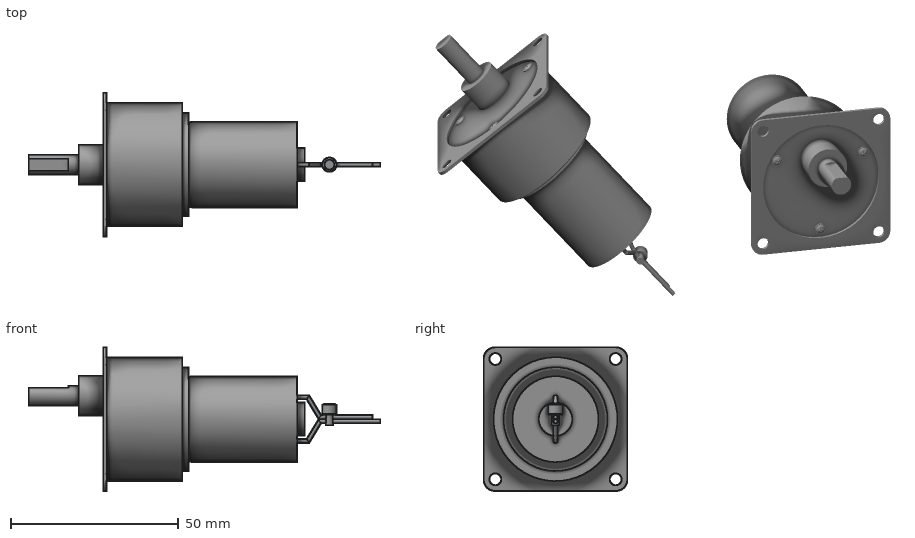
import cadquery as cq
import math


flat_end_x = 11.9
bushing_front_x = 14.9
plate_front_x = 22.3
plate_thickness = 1.0
gearbox_front_x = plate_front_x + plate_thickness
gearbox_rear_x = 46.0
adapter_rear_x = 47.9
motor_rear_x = 80.3
collar_rear_x = 82.6

shaft_dia = 6.0
bushing_dia = 12.0
gearbox_dia = 37.0
adapter_dia = 31.0
motor_dia = 25.7
collar_dia = 10.0

shaft_offset_z = 7.0
shaft_flat_depth = 0.6
motor_front_round = 1.0

plate_side = 43.0
plate_corner_radius = 3.5
plate_bore_dia = 36.0
mount_hole_pitch = plate_bore_dia
mount_hole_dia = 3.5

screw_circle_radius = 15.5
screw_count = 3
screw_head_dia = 3.4
screw_rim_height = 0.3
screw_dome_dia = 2.8
screw_dome_height = 0.5
cross_slot_length = 1.6
cross_slot_width = 0.3
cross_slot_depth = 0.5

wire_dia = 1.3
wire_overlap = 0.02
wire_run_z = (wire_dia - wire_overlap) / 2
wire_exit_z = 6.5
wire_bend_x = 83.5
wire_join_x = 87.1
upper_wire_end_x = 102.9
lower_wire_end_x = 105.2

bead_x = 90.0
bead_dia = 4.3
bead_bottom_z = 1.3
bead_top_z = 4.6
bead_top_chamfer_height = 0.37
bead_top_chamfer_width = 0.68
bead_bottom_chamfer = 0.3
post_dia = 2.3
post_bottom_z = -1.9


def x_cylinder(dia, start_x, end_x, z=0.0):
    """Cylinder along X between two stations, with its axis at height z."""
    return cq.Workplane("YZ", origin=(start_x, 0, z)).circle(dia / 2).extrude(end_x - start_x)


def make_plate():
    """Square mounting plate with rounded corners, a large bore and four corner holes."""
    return (
        cq.Workplane("YZ", origin=(plate_front_x, 0, 0))
        .rect(plate_side, plate_side)
        .extrude(plate_thickness)
        .edges("|X")
        .fillet(plate_corner_radius)
        .faces("<X")
        .workplane(origin=(plate_front_x, 0, 0))
        .hole(plate_bore_dia)
        .faces("<X")
        .workplane(origin=(plate_front_x, 0, 0))
        .rect(mount_hole_pitch, mount_hole_pitch, forConstruction=True)
        .vertices()
        .hole(mount_hole_dia)
    )


def make_output_shaft():
    """Shaft with a flat along the top of its free end."""
    shaft = x_cylinder(shaft_dia, 0, bushing_front_x, shaft_offset_z)
    flat_z = shaft_offset_z + shaft_dia / 2 - shaft_flat_depth
    flat_cut = cq.Workplane("XY", origin=(0, 0, flat_z)).box(
        flat_end_x, shaft_dia, shaft_dia, centered=(False, True, False)
    )
    return shaft.cut(flat_cut)


def make_screw_head(angle):
    """Domed cross-head screw on the gearbox front face, at an angle about X from straight down."""
    rim_front_x = gearbox_front_x - screw_rim_height
    dome_front_x = rim_front_x - screw_dome_height
    dome_radius = ((screw_dome_dia / 2) ** 2 + screw_dome_height**2) / (2 * screw_dome_height)
    mid_radius = screw_dome_dia / 4
    mid_depth = dome_radius - math.sqrt(dome_radius**2 - mid_radius**2)
    dome_mid_point = (dome_front_x + mid_depth, mid_radius)
    head = (
        cq.Workplane("XZ")
        .moveTo(gearbox_front_x, 0)
        .lineTo(gearbox_front_x, screw_head_dia / 2)
        .lineTo(rim_front_x, screw_head_dia / 2)
        .lineTo(rim_front_x, screw_dome_dia / 2)
        .threePointArc(dome_mid_point, (dome_front_x, 0))
        .close()
        .revolve(360, (0, 0, 0), (1, 0, 0))
    )
    slot_plane = cq.Workplane("YZ", origin=(dome_front_x, 0, 0))
    for length_y, length_z in ((cross_slot_length, cross_slot_width), (cross_slot_width, cross_slot_length)):
        head = head.cut(slot_plane.rect(length_y, length_z).extrude(cross_slot_depth))
    return head.translate((0, 0, -screw_circle_radius)).rotate((0, 0, 0), (1, 0, 0), angle)


def make_motor_can():
    """Motor cylinder with a rounded front edge."""
    can = x_cylinder(motor_dia, adapter_rear_x, motor_rear_x)
    return can.faces("<X").edges().fillet(motor_front_round)


def make_wire(side, end_x):
    """Bent wire leaving the motor above (side = 1) or below (side = -1) the axis, straight to end_x."""
    path = (
        cq.Workplane("XZ")
        .moveTo(motor_rear_x, side * wire_exit_z)
        .lineTo(wire_bend_x, side * wire_exit_z)
        .lineTo(wire_join_x, side * wire_run_z)
        .lineTo(end_x, side * wire_run_z)
    )
    profile = cq.Workplane("YZ", origin=(motor_rear_x, 0, side * wire_exit_z)).circle(wire_dia / 2)
    return profile.sweep(path, transition="right")


def make_bead():
    """Bead with chamfered ends on top of a post."""
    bead_height = bead_top_z - bead_bottom_z
    bead = (
        cq.Workplane("XY", origin=(bead_x, 0, bead_bottom_z))
        .circle(bead_dia / 2)
        .extrude(bead_height)
        .faces(">Z")
        .chamfer(bead_top_chamfer_height, bead_top_chamfer_width)
        .faces("<Z")
        .chamfer(bead_bottom_chamfer)
    )
    post = (
        cq.Workplane("XY", origin=(bead_x, 0, post_bottom_z))
        .circle(post_dia / 2)
        .extrude(bead_bottom_z + bead_height / 2 - post_bottom_z)
    )
    return bead.union(post)


def make_gearmotor():
    """Gearbox, output shaft, motor, cover screws and lead wires as one body."""
    gearmotor = (
        x_cylinder(gearbox_dia, gearbox_front_x, gearbox_rear_x)
        .union(x_cylinder(adapter_dia, gearbox_rear_x, adapter_rear_x))
        .union(make_motor_can())
        .union(x_cylinder(collar_dia, motor_rear_x, collar_rear_x))
        .union(x_cylinder(bushing_dia, bushing_front_x, gearbox_front_x, shaft_offset_z))
        .union(make_output_shaft())
    )
    for index in range(screw_count):
        gearmotor = gearmotor.union(make_screw_head(index * 360 / screw_count))
    leads = make_bead()
    for side, end_x in ((1, upper_wire_end_x), (-1, lower_wire_end_x)):
        leads = leads.union(make_wire(side, end_x))
    return gearmotor.union(leads)


plate = make_plate()
gearmotor = make_gearmotor()
result = cq.Compound.makeCompound([plate.val(), gearmotor.val()])